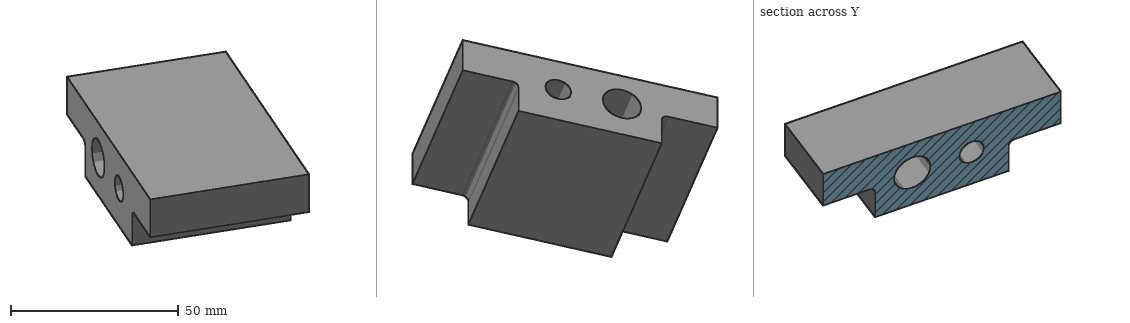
import cadquery as cq

length = 80.0
depth = 50.0
height = 25.0

flange_thickness = 13.0
stem_width = 45.0
corner_radius = 2.0

hole_spacing = 20.0
hole_drop = 12.0
large_diameter = 12.0
small_diameter = 8.0


def centered_block(width, bottom, top):
    """Full-depth block centered in X and Y, between two heights."""
    return cq.Workplane("XY").workplane(offset=bottom).rect(width, depth).extrude(top - bottom)


def cross_hole(x, diameter):
    """Cylinder running the full depth along Y."""
    axis_height = height - hole_drop
    return (
        cq.Workplane("XZ", origin=(x, depth / 2, axis_height))
        .circle(diameter / 2)
        .extrude(depth)
    )


flange_bottom = height - flange_thickness
flange = centered_block(length, flange_bottom, height)
stem = centered_block(stem_width, 0, flange_bottom)
body = flange.union(stem)

for side in (-1, 1):
    corner = (side * stem_width / 2, 0, flange_bottom)
    body = body.edges(cq.NearestToPointSelector(corner)).fillet(corner_radius)

body = body.cut(cross_hole(-hole_spacing / 2, large_diameter))
result = body.cut(cross_hole(hole_spacing / 2, small_diameter))